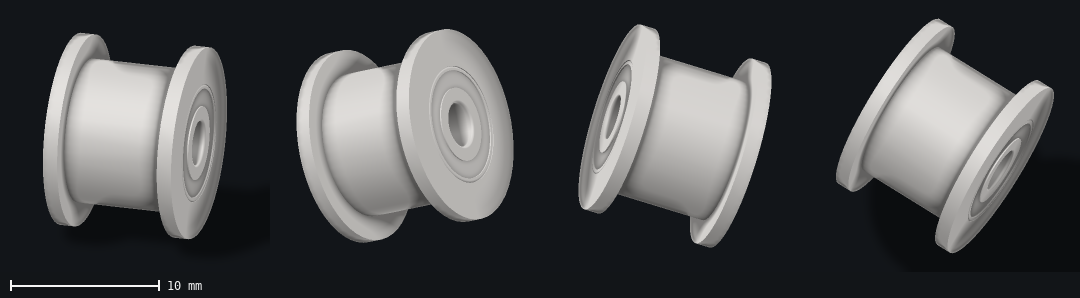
import cadquery as cq

width = 9.0
flange_diameter = 13.0
flange_thickness = 1.0
drum_diameter = 9.75

bearing_diameter = 8.0
shield_outer_diameter = 7.4
shield_inner_diameter = 5.0
shield_depth = 0.1
bore_diameter = 3.0
ring_fillet = 0.15

half_width = width / 2


def cylinder(diameter, start_x, length):
    """Solid cylinder along +X from start_x."""
    return cq.Workplane("YZ", origin=(start_x, 0, 0)).circle(diameter / 2).extrude(length)


def tube(outer_diameter, inner_diameter, start_x, length):
    """Ring along +X from start_x."""
    profile = cq.Workplane("YZ", origin=(start_x, 0, 0))
    return profile.circle(outer_diameter / 2).circle(inner_diameter / 2).extrude(length)


def roller_shell():
    """Drum with a flange at each end, open where the bearings sit."""
    shell = cylinder(drum_diameter, -half_width, width)
    for start_x in (-half_width, half_width - flange_thickness):
        shell = shell.union(cylinder(flange_diameter, start_x, flange_thickness))
    return shell.cut(cylinder(bearing_diameter, -half_width, width))


def bearing_core():
    """Bearing body with rounded ring edges and a recessed shield at each end."""
    core = tube(bearing_diameter, bore_diameter, -half_width, width)
    core = core.faces("<X or >X").edges().fillet(ring_fillet)
    for start_x in (-half_width, half_width - shield_depth):
        core = core.cut(tube(shield_outer_diameter, shield_inner_diameter, start_x, shield_depth))
    return core


result = roller_shell().union(bearing_core())